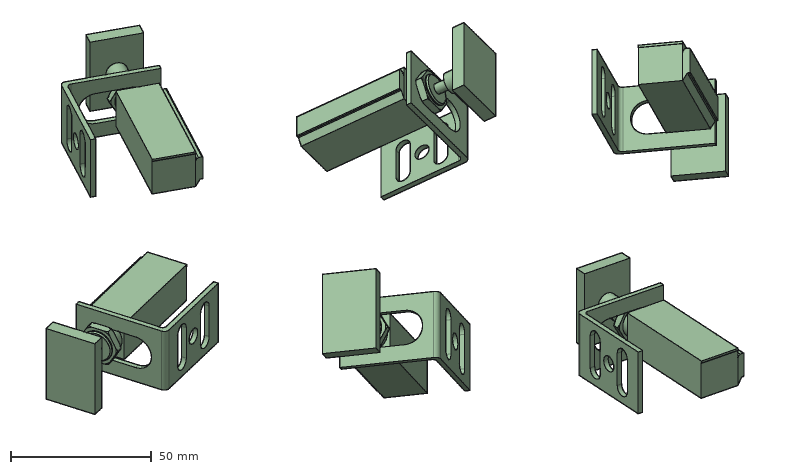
import cadquery as cq
import math


PLATE_THICKNESS = 5.0
PLATE_WIDTH = 20.0
PLATE_HEIGHT = 30.0

COLLAR_DIAMETER = 8.0
COLLAR_END_X = 13.0
ROD_DIAMETER = 4.05
ROD_END_X = 18.45

SHEET = 2.0
BRACKET_X = 22.45
BRACKET_END_X = 59.6
BRACKET_BACK_Y = 10.6
BRACKET_FRONT_Y = -26.4
BRACKET_HEIGHT = 25.0
BEND_OUTER_RADIUS = SHEET
BEND_INNER_RADIUS = 1.5

BARREL_SLOT_WIDTH = 13.0
BARREL_SLOT_TRAVEL = 13.8

SCREW_WIDTH = 6.0
SCREW_SLOT_LENGTH = 19.0
SCREW_SLOT_PITCH = 16.25
MOUNT_CENTRE_X = 41.8

HOUSING_X = 26.35
HOUSING_END_X = 70.8
HOUSING_FRONT_Y = -6.9
HOUSING_BACK_Y = 9.3
HOUSING_HEIGHT = 15.2
LIP_REACH = 0.2
LIP_HEIGHT = 0.9
BARREL_DIAMETER = 12.0
BARREL_CHAMFER_LENGTH = 0.65
BARREL_CHAMFER_DEPTH = 0.4

NUT_FLATS = 14.0
NUT_THICKNESS = 2.9
NUT_X = BRACKET_X - NUT_THICKNESS
NUT_CHAMFER_DEPTH = 0.65
NUT_CHAMFER_LENGTH = 0.3

RAIL_HEIGHT = 9.6
RAIL_BACK_Y = 12.1
RAIL_CHAMFER_Y = 0.4
RAIL_CHAMFER_Z = 0.2
RAIL_FLANK_Y = 10.4
RAIL_KNEE_Y = 9.7
RAIL_KNEE_DROP = 0.4
RAIL_ROOT_DROP = 1.2
RAIL_FLARE_Y = 11.0


def x_cylinder(diameter, start, end):
    """Cylinder on the actuator axis between two x positions."""
    return cq.Workplane("YZ", origin=(start, 0, 0)).circle(diameter / 2).extrude(end - start)


def box_between(x_range, y_range, z_range):
    """Box spanning three coordinate ranges."""
    size = [high - low for low, high in (x_range, y_range, z_range)]
    corner = (x_range[0], y_range[0], z_range[0])
    return cq.Workplane("XY").box(*size, centered=False).translate(corner)


def make_plate():
    return cq.Workplane("XY").box(PLATE_THICKNESS, PLATE_WIDTH, PLATE_HEIGHT).translate(
        (PLATE_THICKNESS / 2, 0, 0)
    )


def make_rod():
    collar = x_cylinder(COLLAR_DIAMETER, PLATE_THICKNESS, COLLAR_END_X)
    return collar.union(x_cylinder(ROD_DIAMETER, COLLAR_END_X, ROD_END_X))


def make_nut():
    corner_diameter = NUT_FLATS / math.cos(math.pi / 6)
    nut = cq.Workplane("YZ", origin=(NUT_X, 0, 0)).polygon(6, corner_diameter).extrude(NUT_THICKNESS)
    corner_radius = corner_diameter / 2
    face_radius = corner_radius - NUT_CHAMFER_DEPTH
    envelope = (
        cq.Workplane("XY")
        .moveTo(NUT_X, 0)
        .lineTo(NUT_X, face_radius)
        .lineTo(NUT_X + NUT_CHAMFER_LENGTH, corner_radius)
        .lineTo(BRACKET_X - NUT_CHAMFER_LENGTH, corner_radius)
        .lineTo(BRACKET_X, face_radius)
        .lineTo(BRACKET_X, 0)
        .close()
        .revolve(360, (0, 0, 0), (1, 0, 0))
    )
    return nut.intersect(envelope).cut(x_cylinder(BARREL_DIAMETER, NUT_X, BRACKET_X))


def make_bracket():
    inner_x = BRACKET_X + SHEET
    inner_y = BRACKET_FRONT_Y + SHEET
    bracket = (
        cq.Workplane("XY", origin=(0, 0, -BRACKET_HEIGHT / 2))
        .moveTo(BRACKET_X, BRACKET_BACK_Y)
        .lineTo(BRACKET_X, BRACKET_FRONT_Y + BEND_OUTER_RADIUS)
        .radiusArc((BRACKET_X + BEND_OUTER_RADIUS, BRACKET_FRONT_Y), -BEND_OUTER_RADIUS)
        .lineTo(BRACKET_END_X, BRACKET_FRONT_Y)
        .lineTo(BRACKET_END_X, inner_y)
        .lineTo(inner_x + BEND_INNER_RADIUS, inner_y)
        .radiusArc((inner_x, inner_y + BEND_INNER_RADIUS), BEND_INNER_RADIUS)
        .lineTo(inner_x, BRACKET_BACK_Y)
        .close()
        .extrude(BRACKET_HEIGHT)
    )
    barrel_slot = (
        cq.Workplane("YZ", origin=(BRACKET_X, -BARREL_SLOT_TRAVEL / 2, 0))
        .slot2D(BARREL_SLOT_TRAVEL + BARREL_SLOT_WIDTH, BARREL_SLOT_WIDTH)
        .extrude(SHEET)
    )
    mounting_face = cq.Workplane("XZ", origin=(MOUNT_CENTRE_X, inner_y, 0))
    screw_slots = (
        mounting_face.pushPoints([(-SCREW_SLOT_PITCH / 2, 0), (SCREW_SLOT_PITCH / 2, 0)])
        .slot2D(SCREW_SLOT_LENGTH, SCREW_WIDTH, 90)
        .extrude(SHEET)
    )
    centre_hole = mounting_face.circle(SCREW_WIDTH / 2).extrude(SHEET)
    return bracket.cut(barrel_slot).cut(screw_slots).cut(centre_hole)


def make_housing():
    top = HOUSING_HEIGHT / 2
    y_range = (HOUSING_FRONT_Y, HOUSING_BACK_Y)
    case = box_between((HOUSING_X, HOUSING_END_X), y_range, (-top, top))
    lip = box_between((HOUSING_END_X, HOUSING_END_X + LIP_REACH), y_range, (top - LIP_HEIGHT, top))
    barrel_radius = BARREL_DIAMETER / 2
    barrel = (
        cq.Workplane("XY")
        .moveTo(ROD_END_X, 0)
        .lineTo(ROD_END_X, barrel_radius - BARREL_CHAMFER_DEPTH)
        .lineTo(ROD_END_X + BARREL_CHAMFER_LENGTH, barrel_radius)
        .lineTo(HOUSING_X, barrel_radius)
        .lineTo(HOUSING_X, 0)
        .close()
        .revolve(360, (0, 0, 0), (1, 0, 0))
    )
    return case.union(lip).union(barrel)


def make_rail():
    top = RAIL_HEIGHT / 2
    return (
        cq.Workplane("YZ", origin=(HOUSING_X, 0, 0))
        .moveTo(HOUSING_BACK_Y, top - RAIL_ROOT_DROP)
        .lineTo(RAIL_KNEE_Y, top - RAIL_KNEE_DROP)
        .lineTo(RAIL_FLANK_Y, top)
        .lineTo(RAIL_BACK_Y - RAIL_CHAMFER_Y, top)
        .lineTo(RAIL_BACK_Y, top - RAIL_CHAMFER_Z)
        .lineTo(RAIL_BACK_Y, -top + RAIL_CHAMFER_Z)
        .lineTo(RAIL_BACK_Y - RAIL_CHAMFER_Y, -top)
        .lineTo(RAIL_FLARE_Y, -top)
        .lineTo(HOUSING_BACK_Y, -HOUSING_HEIGHT / 2)
        .close()
        .extrude(HOUSING_END_X - HOUSING_X)
    )


plate = make_plate()
rod = make_rod()
nut = make_nut()
bracket = make_bracket()
housing = make_housing()
rail = make_rail()

result = cq.Compound.makeCompound(
    [plate.val(), rod.val(), nut.val(), bracket.val(), housing.val(), rail.val()]
)